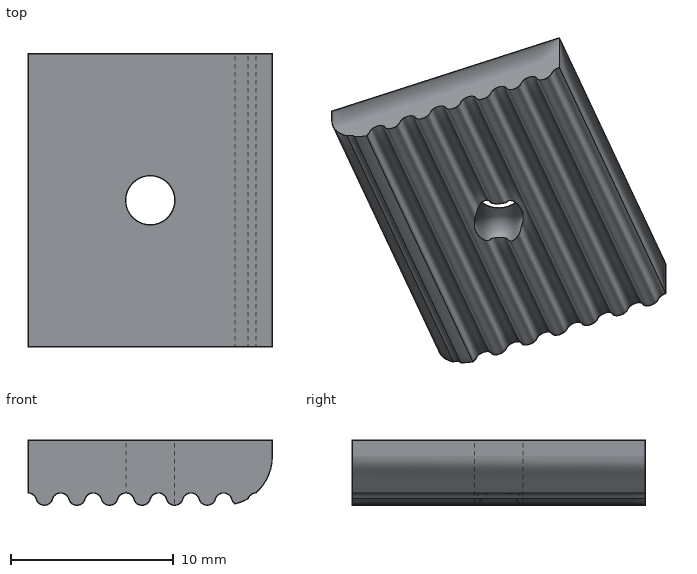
import cadquery as cq

length = 15.0
width = 18.0
height = 4.0

pitches_along_length = 7.5
pitch = length / pitches_along_length
tooth_height = 0.75

nose_radius = 3.0
hole_diameter = 3.0

left = -length / 2
tip_z = -height / 2
valley_z = tip_z + tooth_height
flank_z = (tip_z + valley_z) / 2
top_z = height / 2


def make_rounded_block():
    """Plain block with its lower +X edge rounded."""
    block = cq.Workplane("XY").box(length, width, height)
    return block.edges(">X and <Z").fillet(nose_radius)


def make_toothed_envelope():
    """Prism whose lower side is the wave, with a valley centred on the left end."""
    arc_width = pitch / 2
    arc_count = int(2 * pitches_along_length) + 1
    start_x = left - arc_width / 2

    outline = cq.Workplane("XZ").moveTo(start_x, flank_z)
    for index in range(arc_count):
        arc_centre_x = left + index * arc_width
        crest_z = tip_z if index % 2 else valley_z
        outline = outline.threePointArc((arc_centre_x, crest_z), (arc_centre_x + arc_width / 2, flank_z))

    end_x = start_x + arc_count * arc_width
    outline = outline.lineTo(end_x, top_z).lineTo(start_x, top_z).close()
    return outline.extrude(width / 2, both=True)


body = make_rounded_block().intersect(make_toothed_envelope())

result = body.cut(cq.Workplane("XY").circle(hole_diameter / 2).extrude(height, both=True))